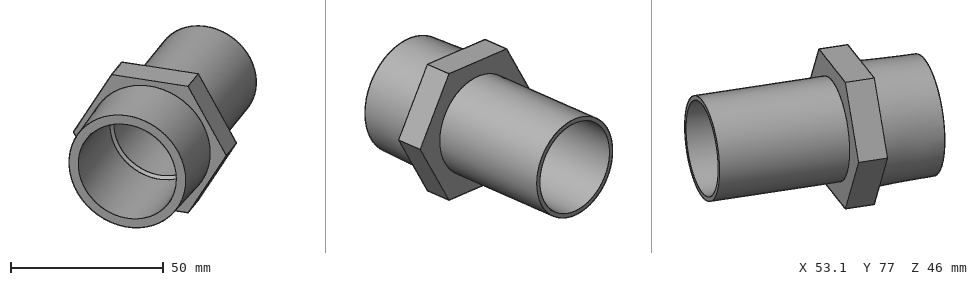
import cadquery as cq
import math

total_length = 77.0
thread_length = 22.0
hex_length = 10.0
tube_length = total_length - thread_length - hex_length

hex_across_flats = 46.0
hex_across_corners = hex_across_flats / math.cos(math.radians(30))

tube_diameter = 35.0
thread_root_diameter = 41.9
thread_taper = 1 / 16
thread_end_diameter = thread_root_diameter - thread_taper * thread_length

wide_bore_diameter = 34.0
narrow_bore_diameter = 32.0
shoulder_length = (wide_bore_diameter - narrow_bore_diameter) / 2


def cylinder(start_y, length, diameter):
    """Round bar along +Y, centred on the Y axis."""
    return cq.Workplane("XZ", origin=(0, start_y, 0)).circle(diameter / 2).extrude(-length)


def cone(start_y, length, start_diameter, end_diameter):
    """Truncated cone along +Y, centred on the Y axis."""
    end_y = start_y + length
    return (
        cq.Workplane("XY")
        .polyline([
            (0, start_y),
            (start_diameter / 2, start_y),
            (end_diameter / 2, end_y),
            (0, end_y),
        ])
        .close()
        .revolve(360, (0, 0, 0), (0, 1, 0))
    )


def hexagon():
    """Wrench hexagon between the threaded end and the tube."""
    return (
        cq.Workplane("XZ", origin=(0, thread_length, 0))
        .polygon(6, hex_across_corners)
        .extrude(-hex_length)
    )


hex_end = thread_length + hex_length
shoulder_start = hex_end - shoulder_length

threaded_end = cone(0, thread_length, thread_end_diameter, thread_root_diameter)
tube = cylinder(hex_end, tube_length, tube_diameter)
body = threaded_end.union(hexagon()).union(tube)

wide_bore = cylinder(0, shoulder_start, wide_bore_diameter)
shoulder = cone(shoulder_start, shoulder_length, wide_bore_diameter, narrow_bore_diameter)
narrow_bore = cylinder(hex_end, tube_length, narrow_bore_diameter)

result = body.cut(wide_bore).cut(shoulder).cut(narrow_bore)